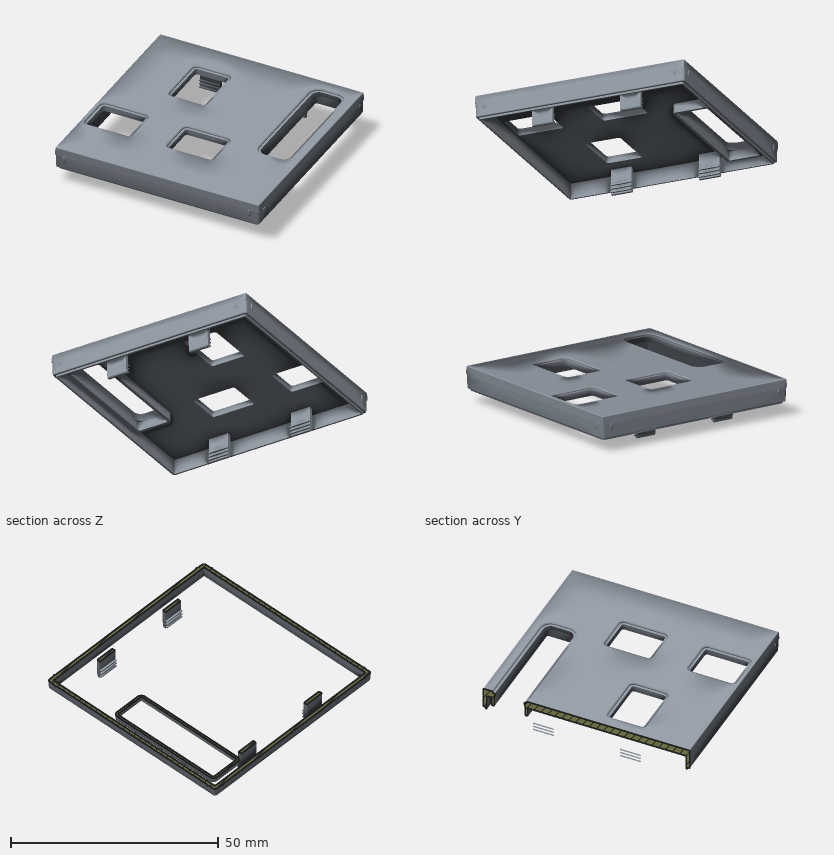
import cadquery as cq
import math

overall_width = 55.9
overall_height = 8.7
nub_projection = 0.2
side = overall_width - 2 * nub_projection

cover_height = 2.1
cover_draft = 3.0
cover_edge_radius = 0.2

frame_height = 3.5
frame_draft = 1.5
frame_corner_radius = 0.65
frame_edge_radius = 0.2
frame_wall = 1.1
lip_height = 0.5
lip_inset = 0.65
lip_corner_radius = 0.45

windows = [
    (-8.9, 12.25, 10.85, 14.85),
    (-20.1, -10.05, 13.4, 10.85),
    (2.25, -10.05, 13.3, 10.85),
]
window_corner_radius = 1.45
slot = (20.5, 8.5, 9.6, 31.85)
slot_corner_radius = 2.8
opening_chamfer = 0.2
opening_chamfer_angle = 45.0
ledge_width = 0.85
ledge_depth = 0.5
window_draft = 2.0
slot_side_draft = 5.0
slot_end_draft = 22.0

collar_height = 2.4
collar_wall = 0.8
collar_corner_radius = 0.4

nub_offset = 25.15
nub_radius = 0.55
nub_straight = 0.65
nub_shoulder_radius = 0.5
nub_shoulder_depth = 1.2
nub_tip_radius = 0.35
nub_depth = 1.7

tab_length = 5.4
tab_thickness = 1.0
tab_center_x = 11.6
tab_outer_y = 23.8
tab_draft = 3.5
tab_chamfer = 0.2
rib_projection = 0.5
rib_height = 0.3
rib_pitch = 0.95
rib_count = 3

throat_depth = cover_height - ledge_depth
slot_throat_x = slot[2] - 2 * ledge_width
slot_throat_y = slot[3] - 2 * ledge_width
collar_inner_x = slot_throat_x + 2 * throat_depth * math.tan(math.radians(slot_side_draft))
collar_inner_y = slot_throat_y + 2 * throat_depth * math.tan(math.radians(slot_end_draft))
frame_bottom = -frame_height - lip_height
tab_bottom = cover_height - overall_height


def rounded_block(length_x, length_y, radius, top, height, draft=0.0):
    """Rectangular block with rounded corners that hangs down from z = top."""
    outline = cq.Sketch().rect(length_x, length_y).vertices().fillet(radius)
    return cq.Workplane("XY", origin=(0, 0, top)).placeSketch(outline).extrude(-height, taper=draft)


def make_cover():
    cover = cq.Workplane("XY").rect(side, side).extrude(cover_height, taper=cover_draft)
    return cover.edges(">Z").fillet(cover_edge_radius)


def make_frame():
    frame = rounded_block(side, side, frame_corner_radius, 0, frame_height, frame_draft)
    frame = frame.edges("<Z").fillet(frame_edge_radius)
    lip_side = side - 2 * lip_inset
    lip = rounded_block(lip_side, lip_side, lip_corner_radius, -frame_height, lip_height)
    cavity_side = side - 2 * frame_wall
    cavity = cq.Workplane("XY").rect(cavity_side, cavity_side).extrude(frame_bottom)
    return frame.union(lip).cut(cavity)


def make_rim(center_x, center_y, length_x, length_y, corner_radius):
    """Cutter for the chamfered recess that forms the ledge around an opening."""
    recess_x = length_x - 2 * opening_chamfer
    recess_y = length_y - 2 * opening_chamfer
    recess = rounded_block(recess_x, recess_y, corner_radius - opening_chamfer, cover_height, ledge_depth)
    bevel = rounded_block(
        length_x, length_y, corner_radius, cover_height, opening_chamfer, opening_chamfer_angle
    )
    return recess.union(bevel).translate((center_x, center_y, 0))


def make_window(center_x, center_y, length_x, length_y):
    """Cutter for a stepped window whose walls widen slightly downwards."""
    throat = rounded_block(
        length_x - 2 * ledge_width,
        length_y - 2 * ledge_width,
        window_corner_radius - ledge_width,
        throat_depth,
        throat_depth,
        -window_draft,
    )
    rim = make_rim(center_x, center_y, length_x, length_y, window_corner_radius)
    return rim.union(throat.translate((center_x, center_y, 0)))


def make_slot():
    """Cutter for the slot through the cover; its end walls slope more than its long walls."""
    throat_radius = slot_corner_radius - ledge_width
    upper_outline = cq.Sketch().rect(slot_throat_x, slot_throat_y).vertices().fillet(throat_radius)
    lower_outline = cq.Sketch().rect(collar_inner_x, collar_inner_y).vertices().fillet(throat_radius)
    throat = (
        cq.Workplane("XY")
        .placeSketch(lower_outline, upper_outline.moved(cq.Location(cq.Vector(0, 0, throat_depth))))
        .loft()
    )
    return make_rim(*slot, slot_corner_radius).union(throat.translate((slot[0], slot[1], 0)))


def make_collar():
    outer_x = collar_inner_x + 2 * collar_wall
    outer_y = collar_inner_y + 2 * collar_wall
    outer = rounded_block(outer_x, outer_y, collar_corner_radius + collar_wall, 0, collar_height)
    inner = rounded_block(collar_inner_x, collar_inner_y, collar_corner_radius, 0, collar_height)
    return outer.cut(inner).translate((slot[0], slot[1], 0))


def make_nubs():
    """Two nubs with stepped tapers on each of the four sides."""
    nub = (
        cq.Workplane("XZ")
        .moveTo(0, 0)
        .lineTo(nub_radius, 0)
        .lineTo(nub_radius, -nub_straight)
        .lineTo(nub_shoulder_radius, -nub_shoulder_depth)
        .lineTo(nub_tip_radius, -nub_depth)
        .lineTo(0, -nub_depth)
        .close()
        .revolve(360, (0, 0, 0), (0, 1, 0))
    )
    axis_y = overall_width / 2 - nub_radius
    nubs = cq.Workplane("XY")
    for turn in range(4):
        for x in (-nub_offset, nub_offset):
            placed = nub.translate((x, -axis_y, 0))
            nubs = nubs.union(placed.rotate((0, 0, 0), (0, 0, 1), 90 * turn))
    return nubs


def make_tab():
    """Tab near the -X, -Y corner, hanging from the cover and ribbed on its inner face."""
    inner_y = tab_thickness - tab_outer_y
    chamfer_top = tab_bottom + tab_chamfer
    drafted_y = (frame_bottom - chamfer_top) * math.tan(math.radians(tab_draft)) - tab_outer_y
    profile = (
        cq.Workplane("YZ", origin=(-tab_center_x, 0, 0))
        .moveTo(inner_y, 0)
        .lineTo(-tab_outer_y, 0)
        .lineTo(-tab_outer_y, frame_bottom)
        .lineTo(drafted_y, chamfer_top)
        .lineTo(drafted_y + tab_chamfer, tab_bottom)
        .lineTo(inner_y, tab_bottom)
        .close()
    )
    tab = profile.extrude(tab_length / 2, both=True)
    rib = cq.Workplane("XY").box(tab_length, rib_projection, rib_height)
    for index in range(rib_count):
        rib_z = frame_bottom - index * rib_pitch - rib_height / 2
        tab = tab.union(rib.translate((-tab_center_x, inner_y + rib_projection / 2, rib_z)))
    return tab


result = make_cover().union(make_frame()).union(make_collar()).union(make_nubs())

front_left_tab = make_tab()
front_right_tab = front_left_tab.mirror("YZ")
for front_tab in (front_left_tab, front_right_tab):
    result = result.union(front_tab).union(front_tab.mirror("XZ"))

for window in windows:
    result = result.cut(make_window(*window))
result = result.cut(make_slot())